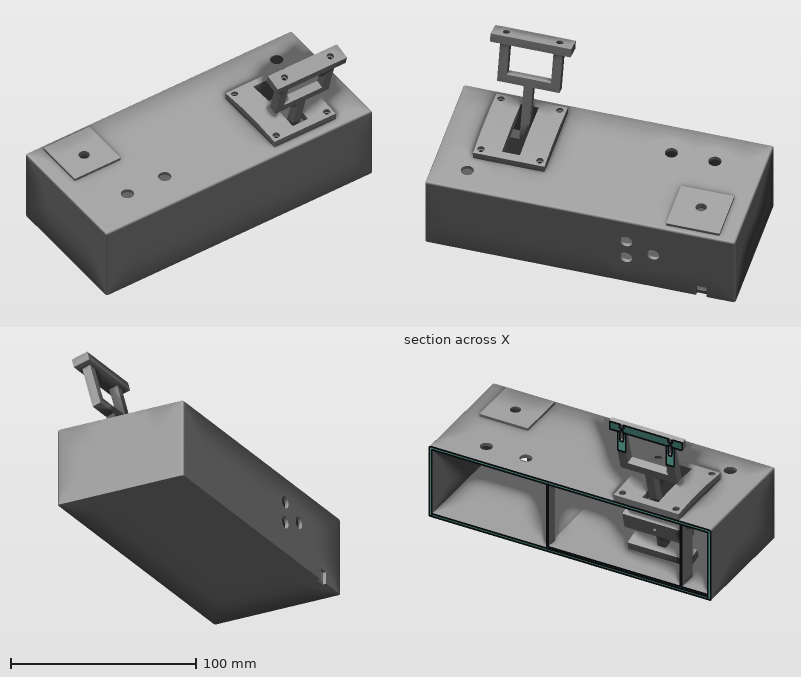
import cadquery as cq
import math

CASE_X = 78.0
CASE_Y = 174.0
CASE_Z = 45.0
WALL = 2.1
EDGE_RADIUS = 1.2
TOP_KNOCKOUT_DIA = 7.1
SIDE_KNOCKOUT_DIA = 7.0
TOP_KNOCKOUTS = [(14.8, 154.3), (57.6, 51.9), (57.6, 27.5)]
SIDE_KNOCKOUTS = [(61.2, 30.1), (61.2, 18.1), (46.1, 24.0)]
NOTCH_Y = 19.0
NOTCH_WIDTH = 6.0
NOTCH_HEIGHT = 7.0

BASE_THICKNESS = 2.1
BRACKET_SHEET = 1.2
BRACKET_FRONT_Y = 72.5
BRACKET_REAR_Y = 155.0
BRACKET_TAB_WIDTH = 11.0
BRACKET_REAR_WIDTH = 15.7

LABEL_SIDE = 30.0
LABEL_THICKNESS = 1.5
LABEL_X = 18.3
LABEL_Y = 24.7
LAMP_X = 20.2
LAMP_DIA = 6.1

BEZEL_X = 47.0
BEZEL_Y = 40.0
BEZEL_EDGE_Z = 4.0
BEZEL_CROWN_Z = 5.4
BEZEL_CENTRE_X = 48.4
LEVER_Y = 134.0
SLOT_LENGTH = 38.0
SLOT_WIDTH = 10.1
OPENING_WIDTH = 27.8
SCREW_INSET = 3.5
BEZEL_SCREW_DIA = 2.1
BEZEL_HEAD_DIA = 4.0
BEZEL_HEAD_DEPTH = 1.4

TILT = 15.0
OVERALL_X = 78.8
OVERALL_Z = 96.7
GRIP_WIDTH = 10.0
GRIP_LENGTH = 45.2
GRIP_HEIGHT = 5.0
GRIP_SCREW_DIA = 2.1
GRIP_HEAD_DIA = 4.0
GRIP_HEAD_DEPTH = 2.1
GRIP_TAP_DEPTH = 5.2

BAR = 5.0
FRAME_WIDTH = 35.0
FRAME_BOTTOM = 30.0
UPPER_ARM_TOP = 63.2
UPPER_ARM_BOTTOM = 73.5
LOWER_ARM_TOP = 85.8
LEVER_BOTTOM = LOWER_ARM_TOP + BAR
ARM_LENGTH = 38.3
ARM_THICKNESS = 9.0
ARM_HOLE_DIA = 2.1


def box(x_range, y_range, z_range):
    """Box between the given limits."""
    (x0, x1), (y0, y1), (z0, z1) = x_range, y_range, z_range
    corner = cq.Vector(x0, y0, z0)
    return cq.Workplane(cq.Solid.makeBox(x1 - x0, y1 - y0, z1 - z0, corner))


def upright_cylinder(x, y, z0, z1, diameter):
    """Cylinder along Z between two heights."""
    return cq.Workplane(cq.Solid.makeCylinder(diameter / 2, z1 - z0, cq.Vector(x, y, z0)))


def tilted(upright):
    """Lean an upright lever part about its grip top and put it in place."""
    angle = math.radians(TILT)
    half = GRIP_WIDTH / 2
    top_x = OVERALL_X - half * math.cos(angle)
    top_z = OVERALL_Z - half * math.sin(angle)
    return upright.rotate((0, 0, 0), (0, 1, 0), TILT).translate((top_x, LEVER_Y, top_z))


def lamp_hole():
    """Cutter for the lamp hole through the label and the case top."""
    return upright_cylinder(LAMP_X, LABEL_Y, CASE_Z - WALL, CASE_Z + LABEL_THICKNESS, LAMP_DIA)


def make_case():
    case = box((0, CASE_X), (0, CASE_Y), (0, CASE_Z))
    case = case.edges("|Z or >Z").fillet(EDGE_RADIUS)
    case = case.cut(box((WALL, CASE_X - WALL), (WALL, CASE_Y - WALL), (0, CASE_Z - WALL)))
    for x, y in TOP_KNOCKOUTS:
        case = case.cut(upright_cylinder(x, y, CASE_Z - WALL, CASE_Z, TOP_KNOCKOUT_DIA))
    side_holes = cq.Workplane("YZ").pushPoints(SIDE_KNOCKOUTS).circle(SIDE_KNOCKOUT_DIA / 2).extrude(WALL)
    notch_ends = (NOTCH_Y - NOTCH_WIDTH / 2, NOTCH_Y + NOTCH_WIDTH / 2)
    notch = box((0, WALL), notch_ends, (0, NOTCH_HEIGHT))
    opening = (
        cq.Workplane("XY", origin=(BEZEL_CENTRE_X, LEVER_Y, CASE_Z - WALL))
        .rect(SLOT_LENGTH, OPENING_WIDTH)
        .extrude(WALL)
    )
    return case.cut(side_holes).cut(notch).cut(opening).cut(lamp_hole())


def make_base():
    return box((WALL, CASE_X - WALL), (WALL, CASE_Y - WALL), (0, BASE_THICKNESS))


def make_bracket():
    """Floor sheet with a split front wall and a short rear wall, wedged inside the case."""
    inside_x = (WALL, CASE_X - WALL)
    rear_limits = (BRACKET_REAR_Y, BRACKET_REAR_Y + BRACKET_SHEET)
    front_limits = (BRACKET_FRONT_Y, BRACKET_FRONT_Y + BRACKET_SHEET)
    wall_z = (BASE_THICKNESS, CASE_Z - WALL)
    floor_top = BASE_THICKNESS + BRACKET_SHEET
    floor = box(inside_x, (BRACKET_FRONT_Y, CASE_Y - WALL), (BASE_THICKNESS, floor_top))
    rear = box((inside_x[1] - BRACKET_REAR_WIDTH, inside_x[1]), rear_limits, wall_z)
    front = box(inside_x, front_limits, wall_z)
    gap_x = (inside_x[0] + BRACKET_TAB_WIDTH, inside_x[1] - BRACKET_TAB_WIDTH)
    gap = box(gap_x, front_limits, (floor_top, CASE_Z - WALL))
    return floor.union(rear).union(front.cut(gap))


def make_label():
    half = LABEL_SIDE / 2
    plate = box(
        (LABEL_X - half, LABEL_X + half),
        (LABEL_Y - half, LABEL_Y + half),
        (CASE_Z, CASE_Z + LABEL_THICKNESS),
    )
    return plate.cut(lamp_hole())


def make_bezel():
    half = BEZEL_X / 2
    plate = (
        cq.Workplane("XZ")
        .moveTo(-half, 0)
        .lineTo(-half, BEZEL_EDGE_Z)
        .threePointArc((0, BEZEL_CROWN_Z), (half, BEZEL_EDGE_Z))
        .lineTo(half, 0)
        .close()
        .extrude(BEZEL_Y / 2, both=True)
    )
    plate = plate.cut(cq.Workplane("XY").rect(SLOT_LENGTH, SLOT_WIDTH).extrude(BEZEL_CROWN_Z))
    spacing_x = BEZEL_X - 2 * SCREW_INSET
    spacing_y = BEZEL_Y - 2 * SCREW_INSET
    head_floor = BEZEL_EDGE_Z - BEZEL_HEAD_DEPTH
    for z0, diameter in [(0, BEZEL_SCREW_DIA), (head_floor, BEZEL_HEAD_DIA)]:
        holes = (
            cq.Workplane("XY", origin=(0, 0, z0))
            .rect(spacing_x, spacing_y, forConstruction=True)
            .vertices()
            .circle(diameter / 2)
            .extrude(BEZEL_CROWN_Z)
        )
        plate = plate.cut(holes)
    return plate.translate((BEZEL_CENTRE_X, LEVER_Y, CASE_Z))


def grip_screw_cuts():
    """Counterbored screw holes through the grip and into the lever posts, upright."""
    cuts = cq.Workplane("XY")
    post_y = (FRAME_WIDTH - BAR) / 2
    for y in (-post_y, post_y):
        cuts = cuts.add(upright_cylinder(0, y, -GRIP_HEIGHT - GRIP_TAP_DEPTH, 0, GRIP_SCREW_DIA))
        cuts = cuts.add(upright_cylinder(0, y, -GRIP_HEAD_DEPTH, 0, GRIP_HEAD_DIA))
    return cuts.combine()


def make_grip():
    half_x = GRIP_WIDTH / 2
    half_y = GRIP_LENGTH / 2
    bar = box((-half_x, half_x), (-half_y, half_y), (-GRIP_HEIGHT, 0))
    return tilted(bar.cut(grip_screw_cuts()))


def make_lever():
    front = -BAR / 2
    thin = (front, front + BAR)
    thick = (front, front + ARM_THICKNESS)
    frame_half = FRAME_WIDTH / 2
    arm_y = (-ARM_LENGTH / 2, ARM_LENGTH / 2)

    frame = box(thin, (-frame_half, frame_half), (-FRAME_BOTTOM, -GRIP_HEIGHT))
    window_half = frame_half - BAR
    frame = frame.cut(box(thin, (-window_half, window_half), (BAR - FRAME_BOTTOM, -GRIP_HEIGHT)))
    stem = box(thin, (-BAR / 2, BAR / 2), (-LEVER_BOTTOM, -FRAME_BOTTOM))
    upper_arm = box(thick, arm_y, (-UPPER_ARM_BOTTOM, -UPPER_ARM_TOP))
    lower_arm = box(thick, arm_y, (-LEVER_BOTTOM, -LOWER_ARM_TOP))
    lever = frame.union(stem).union(upper_arm).union(lower_arm)

    hole_z = -(UPPER_ARM_TOP + UPPER_ARM_BOTTOM) / 2
    arm_hole = (
        cq.Workplane("YZ", origin=(front, 0, hole_z)).circle(ARM_HOLE_DIA / 2).extrude(ARM_THICKNESS)
    )
    return tilted(lever.cut(arm_hole).cut(grip_screw_cuts()))


case = make_case()
base = make_base()
bracket = make_bracket()
label = make_label()
bezel = make_bezel()
grip = make_grip()
lever = make_lever()

bodies = [case, base, bracket, label, bezel, grip, lever]
result = cq.Compound.makeCompound([body.solids().val() for body in bodies])